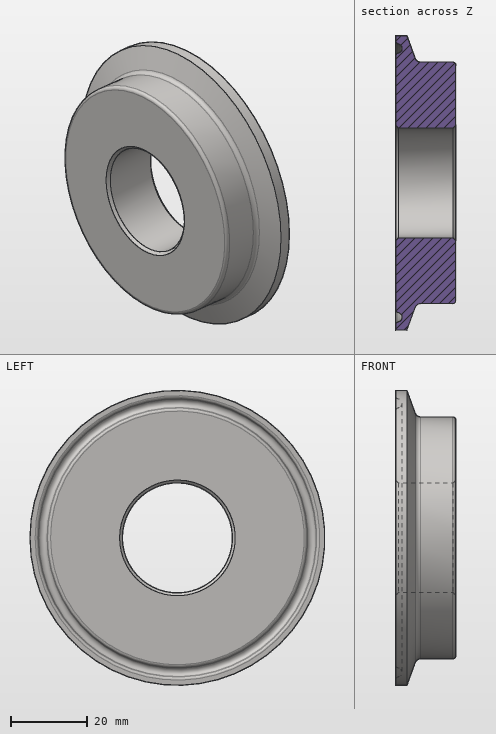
import cadquery as cq
import math


length = 15.9
flange_radius = 38.7
hub_radius = 63.5 / 2
bore_radius = 14.4

rim_width = 3.0
clamp_angle = math.radians(20)
neck_fillet = 1.4

hub_edge_fillet = 0.9
bore_chamfer = 0.8

groove_radius = 35.3
groove_depth = 1.7
groove_floor_radius = 1.15
groove_lip_radius = 0.85
groove_wall_angle = math.radians(70)


def make_body():
    """Flange with a conical back that blends into the cylindrical hub."""
    cone_end = rim_width + (flange_radius - hub_radius) * math.tan(clamp_angle)
    half_turn = (math.pi / 2 - clamp_angle) / 2
    tangent_length = neck_fillet * math.tan(half_turn)

    arc_start = (
        cone_end - tangent_length * math.sin(clamp_angle),
        hub_radius + tangent_length * math.cos(clamp_angle),
    )
    arc_end = (cone_end + tangent_length, hub_radius)

    edge_start = (length - hub_edge_fillet, hub_radius)
    edge_end = (length, hub_radius - hub_edge_fillet)

    return (
        cq.Workplane("XY")
        .moveTo(0, bore_radius + bore_chamfer)
        .lineTo(0, flange_radius)
        .lineTo(rim_width, flange_radius)
        .lineTo(*arc_start)
        .tangentArcPoint(arc_end, relative=False)
        .lineTo(*edge_start)
        .tangentArcPoint(edge_end, relative=False)
        .lineTo(length, bore_radius + bore_chamfer)
        .lineTo(length - bore_chamfer, bore_radius)
        .lineTo(bore_chamfer, bore_radius)
        .close()
        .revolve(360, (0, 0, 0), (1, 0, 0))
    )


def make_groove():
    """Ring cutter: a round groove floor, short conical walls and rounded lips."""
    lip_width = groove_lip_radius * math.sin(groove_wall_angle)
    lip_depth = groove_lip_radius * (1 - math.cos(groove_wall_angle))
    floor_half_width = groove_floor_radius * math.sin(groove_wall_angle)
    wall_end_depth = groove_depth - groove_floor_radius * (1 - math.cos(groove_wall_angle))
    wall_width = (wall_end_depth - lip_depth) / math.tan(groove_wall_angle)

    wall_start_offset = floor_half_width + wall_width
    lip_offset = wall_start_offset + lip_width

    return (
        cq.Workplane("XY")
        .moveTo(0, groove_radius - lip_offset)
        .radiusArc((lip_depth, groove_radius - wall_start_offset), groove_lip_radius)
        .lineTo(wall_end_depth, groove_radius - floor_half_width)
        .threePointArc(
            (groove_depth, groove_radius),
            (wall_end_depth, groove_radius + floor_half_width),
        )
        .lineTo(lip_depth, groove_radius + wall_start_offset)
        .radiusArc((0, groove_radius + lip_offset), groove_lip_radius)
        .close()
        .revolve(360, (0, 0, 0), (1, 0, 0))
    )


result = make_body().cut(make_groove())